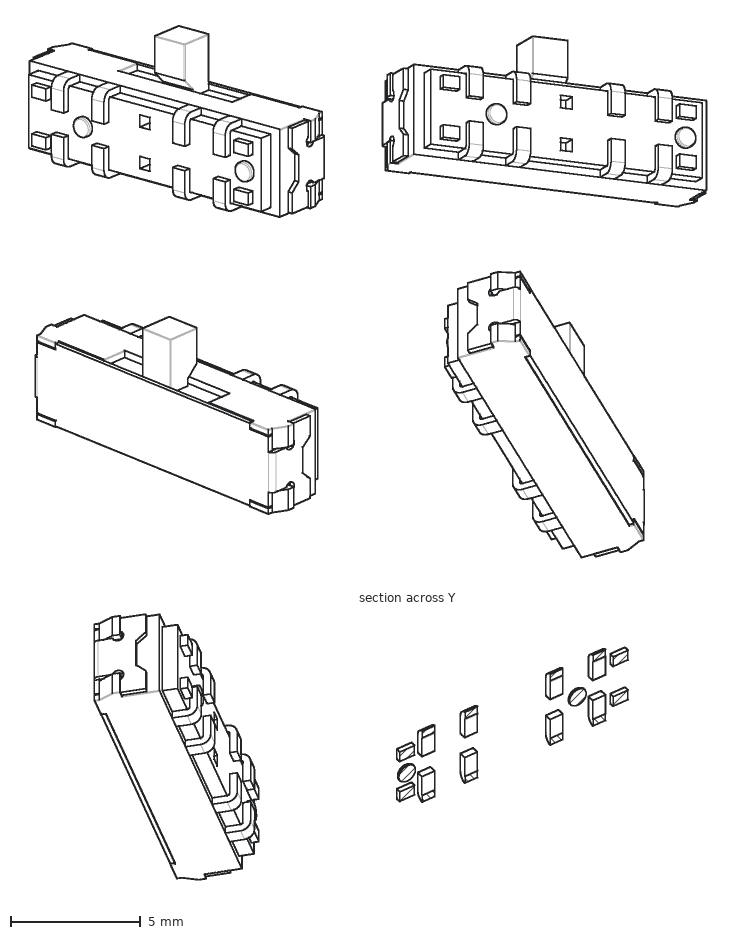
import cadquery as cq

HOUSING_LENGTH = 12.4
HOUSING_HEIGHT = 3.6
HOUSING_FRONT_Y = -2.6
TOP_Z = HOUSING_HEIGHT / 2
END_X = HOUSING_LENGTH / 2

EDGE_FILLET = 0.03

SHEET = 0.2
COVER_CLEARANCE = 0.05
COVER_HEIGHT = HOUSING_HEIGHT - 2 * COVER_CLEARANCE
COVER_BEND_RADIUS = 0.2
FLAP_SHOULDER_Y = -2.1
FLAP_CENTRE_Y = -1.7
FLAP_SHOULDER_Z = 0.9
FLAP_CENTRE_Z = 0.55
RELIEF_RADIUS = 0.22
RELIEF_Y = -1.0
RELIEF_Z = 0.92

CORNER_X = 5.2
CORNER_Z = 1.55

HOOK_TIP_X = 6.5
HOOK_RAMP_END_Y = -0.8
HOOK_FRONT_Y = -1.1
HOOK_INNER_Z = 0.9

SLOT_LENGTH = 5.6
SLOT_FRONT_Y = -1.35
SLOT_DEPTH = 0.3

KNOB_WIDTH = 1.5
KNOB_DEPTH = 1.5
KNOB_RISE = 2.0
KNOB_CHAMFER = 0.5

BASE_LENGTH = 11.5
BASE_HEIGHT = 3.0
BASE_FRONT_Y = -3.2
BASE_DEPTH = HOUSING_FRONT_Y - BASE_FRONT_Y

PAD_WIDTH = 0.7
PAD_HEIGHT = 0.5
PAD_DEPTH = 0.3
PAD_X = 5.0
PAD_Z = 1.0
PEG_RADIUS = 0.4
PEG_DEPTH = 0.2
PEG_FILLET = 0.05
PEG_XS = (-3.0, 5.0)
HOLE_SIDE = 0.5
HOLE_Z = 0.85

TERMINAL_XS = (-4.0, -2.0, 2.0, 4.0)
TERMINAL_WIDTH = 0.6
TERMINAL_THICKNESS = TOP_Z - BASE_HEIGHT / 2
TERMINAL_FRONT_Y = -3.6
TERMINAL_OUTER_RADIUS = 0.4
TERMINAL_INNER_RADIUS = TERMINAL_OUTER_RADIUS - TERMINAL_THICKNESS
TERMINAL_TIP_Z = 0.5


def box(x_range, y_range, z_range):
    """Box spanning the given (low, high) range along each axis."""
    lows, highs = zip(x_range, y_range, z_range)
    sizes = [high - low for low, high in zip(lows, highs)]
    return cq.Workplane("XY").box(*sizes, centered=False).translate(lows)


def both_ends(end):
    """The end feature together with its mirror image on the other end in X."""
    return end.union(end.mirror("YZ"))


def both_levels(feature):
    """The feature together with its mirror image below the middle plane in Z."""
    return feature.union(feature.mirror("XY"))


def make_hook():
    """Ramped snap hook at the upper +X corner."""
    return (
        cq.Workplane("XY", origin=(0, 0, HOOK_INNER_Z))
        .moveTo(END_X, -SHEET)
        .lineTo(HOOK_TIP_X, HOOK_RAMP_END_Y)
        .lineTo(HOOK_TIP_X, HOOK_FRONT_Y)
        .lineTo(END_X, HOOK_FRONT_Y)
        .close()
        .extrude(TOP_Z - HOOK_INNER_Z)
    )


def base_front(points):
    """Workplane on the base front face, facing -Y, holding the given (x, z) points."""
    return cq.Workplane("XZ", origin=(0, BASE_FRONT_Y, 0)).pushPoints(points)


def make_knob():
    """Knob with a chamfered underside whose stem stands on the slot floor."""
    back_y = -SHEET
    front_y = back_y - KNOB_DEPTH
    stem_front_y = front_y + KNOB_CHAMFER
    knob_top_z = TOP_Z + KNOB_RISE
    floor_z = TOP_Z - SLOT_DEPTH
    return (
        cq.Workplane("YZ")
        .moveTo(back_y, floor_z)
        .lineTo(back_y, knob_top_z)
        .lineTo(front_y, knob_top_z)
        .lineTo(front_y, TOP_Z + KNOB_CHAMFER)
        .lineTo(stem_front_y, TOP_Z)
        .lineTo(stem_front_y, floor_z)
        .close()
        .extrude(KNOB_WIDTH / 2, both=True)
        .edges("not(<Z or (|X and (not >Z)))")
        .fillet(EDGE_FILLET)
    )


def make_housing():
    block = box((-END_X, END_X), (HOUSING_FRONT_Y, -SHEET), (-TOP_Z, TOP_Z))
    corner = box((CORNER_X, END_X), (-SHEET, 0), (CORNER_Z, TOP_Z))
    base = box(
        (-BASE_LENGTH / 2, BASE_LENGTH / 2),
        (BASE_FRONT_Y, HOUSING_FRONT_Y),
        (-BASE_HEIGHT / 2, BASE_HEIGHT / 2),
    )
    slot = box(
        (-SLOT_LENGTH / 2, SLOT_LENGTH / 2), (SLOT_FRONT_Y, -SHEET), (TOP_Z - SLOT_DEPTH, TOP_Z)
    )
    pad_points = [(x, z) for x in (-PAD_X, PAD_X) for z in (-PAD_Z, PAD_Z)]
    pads = base_front(pad_points).rect(PAD_WIDTH, PAD_HEIGHT).extrude(PAD_DEPTH)
    pegs = base_front([(x, 0) for x in PEG_XS]).circle(PEG_RADIUS).extrude(PEG_DEPTH)
    pegs = pegs.faces("<Y").fillet(PEG_FILLET)
    holes = base_front([(0, -HOLE_Z), (0, HOLE_Z)]).rect(HOLE_SIDE, HOLE_SIDE).extrude(-BASE_DEPTH)

    shell = block.union(both_ends(both_levels(corner.union(make_hook())))).cut(slot)
    shell = shell.faces(">Z or <Z").edges("(not |X) or >Y").fillet(EDGE_FILLET)
    return shell.union(base).cut(holes).union(pads).union(pegs).union(make_knob())


def make_flap_outline_cut():
    """Cuts that shape the +X flap: its notched front edge and the clearance for the hooks."""
    flap_x = (END_X, END_X + SHEET)
    half_height = COVER_HEIGHT / 2
    front_edge = (
        cq.Workplane("YZ", origin=(flap_x[0], 0, 0))
        .moveTo(FLAP_SHOULDER_Y, -FLAP_SHOULDER_Z)
        .lineTo(FLAP_CENTRE_Y, -FLAP_CENTRE_Z)
        .lineTo(FLAP_CENTRE_Y, FLAP_CENTRE_Z)
        .lineTo(FLAP_SHOULDER_Y, FLAP_SHOULDER_Z)
        .close()
        .extrude(SHEET)
    )
    notch_z = HOOK_INNER_Z - COVER_CLEARANCE
    hook_notch = box(flap_x, (HOOK_FRONT_Y, 0), (notch_z, half_height))
    relief = (
        cq.Workplane("YZ", origin=(flap_x[0], RELIEF_Y, RELIEF_Z))
        .circle(RELIEF_RADIUS)
        .extrude(SHEET)
    )
    return front_edge.union(both_levels(hook_notch.union(relief)))


def make_cover():
    outer_x = END_X + SHEET
    half_height = COVER_HEIGHT / 2
    sheet = box((-outer_x, outer_x), (FLAP_SHOULDER_Y, 0), (-half_height, half_height))
    sheet = sheet.edges("|Z and >Y").fillet(COVER_BEND_RADIUS)
    inside = box((-END_X, END_X), (FLAP_SHOULDER_Y, -SHEET), (-half_height, half_height))
    corner_notch = box(
        (CORNER_X, END_X),
        (-SHEET, 0),
        (CORNER_Z - COVER_CLEARANCE, half_height),
    )
    end_cuts = both_levels(corner_notch).union(make_flap_outline_cut())
    return sheet.cut(inside).cut(both_ends(end_cuts))


def make_terminal(x):
    """Upper terminal at x: leaves the housing forward, then bends down ahead of the base."""
    inner_y = TERMINAL_FRONT_Y + TERMINAL_THICKNESS
    inner_z = TOP_Z - TERMINAL_THICKNESS
    outer_leg = box(
        (x - TERMINAL_WIDTH / 2, x + TERMINAL_WIDTH / 2),
        (TERMINAL_FRONT_Y, HOUSING_FRONT_Y),
        (TERMINAL_TIP_Z, TOP_Z),
    ).edges("|X and >Z and <Y").fillet(TERMINAL_OUTER_RADIUS)
    inner_cut = box(
        (x - TERMINAL_WIDTH / 2, x + TERMINAL_WIDTH / 2),
        (inner_y, HOUSING_FRONT_Y),
        (TERMINAL_TIP_Z, inner_z),
    ).edges("|X and >Z and <Y").fillet(TERMINAL_INNER_RADIUS)
    return outer_leg.cut(inner_cut)


housing = make_housing()
cover = make_cover()

terminals = []
for terminal_x in TERMINAL_XS:
    upper = make_terminal(terminal_x)
    terminals += [upper.val(), upper.mirror("XY").val()]

result = cq.Compound.makeCompound([housing.val(), cover.val(), *terminals])